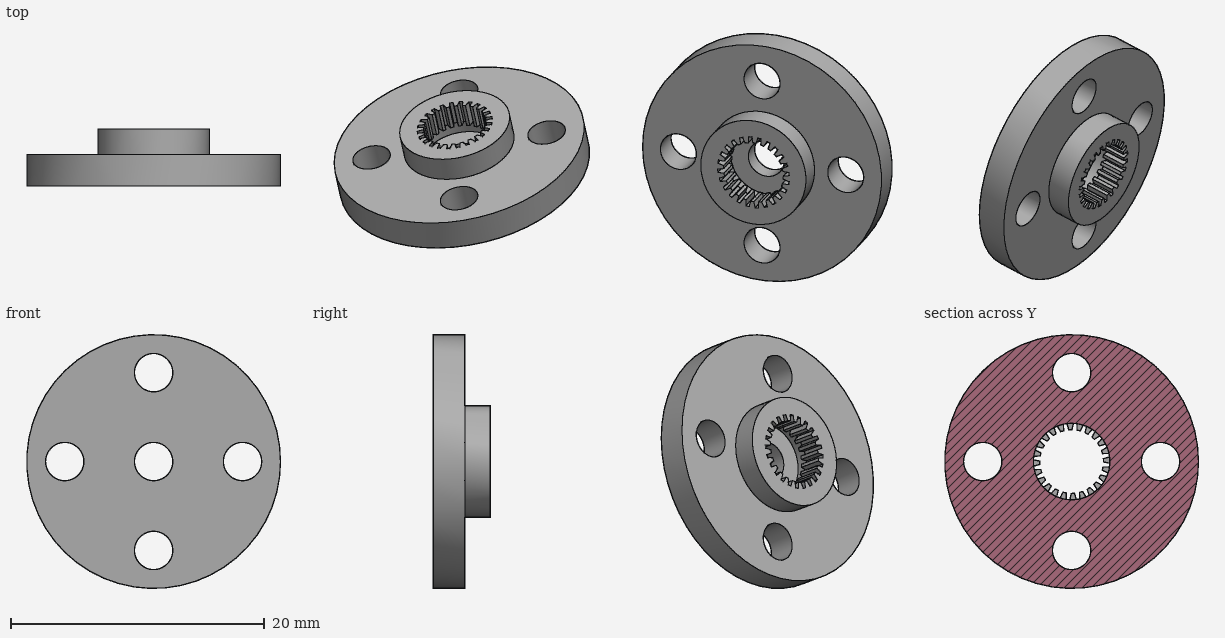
import cadquery as cq
import math

disc_diameter = 20.0
disc_thickness = 2.5

hub_diameter = 8.8
hub_height = 2.0
overall_depth = disc_thickness + hub_height

hole_diameter = 3.0
bolt_circle_diameter = 14.0
bolt_hole_count = 4

relief_depth = 1.0
tooth_count = 24
spline_root_diameter = 6.0
spline_tip_diameter = 5.0
tooth_flat_width = 0.265
first_tooth_angle = math.radians(2.2)


def cylinder_along_y(diameter, start, length):
    """Cylinder on the part axis, from y = start to y = start + length."""
    plane = cq.Workplane("XZ", origin=(0, start, 0))
    return plane.circle(diameter / 2).extrude(-length)


def make_body():
    disc = cylinder_along_y(disc_diameter, 0, disc_thickness)
    hub = cylinder_along_y(hub_diameter, disc_thickness, hub_height)
    return disc.union(hub)


def make_holes():
    centre_hole = cylinder_along_y(hole_diameter, 0, overall_depth)
    bolt_holes = (
        cq.Workplane("XZ")
        .polarArray(bolt_circle_diameter / 2, 0, 360, bolt_hole_count)
        .circle(hole_diameter / 2)
        .extrude(-disc_thickness)
    )
    return centre_hole.union(bolt_holes)


def make_relief_bore():
    """Clearance at the inner end of the teeth, as wide as the spline roots."""
    return cylinder_along_y(spline_root_diameter, disc_thickness - relief_depth, relief_depth)


def point_at(radius, angle):
    """Point in the XZ plane at the given radius and angle from +X."""
    return (radius * math.cos(angle), radius * math.sin(angle))


def make_spline_socket():
    """Socket through the hub with flat-topped teeth and flat roots."""
    root_radius = spline_root_diameter / 2
    tip_radius = spline_tip_diameter / 2
    pitch = 2 * math.pi / tooth_count
    root_half_angle = math.asin(tooth_flat_width / 2 / root_radius)
    tip_half_angle = math.asin(tooth_flat_width / 2 / tip_radius)
    points = []
    for i in range(tooth_count):
        tip_angle = first_tooth_angle + i * pitch
        root_angle = tip_angle - pitch / 2
        points.append(point_at(root_radius, root_angle - root_half_angle))
        points.append(point_at(root_radius, root_angle + root_half_angle))
        points.append(point_at(tip_radius, tip_angle - tip_half_angle))
        points.append(point_at(tip_radius, tip_angle + tip_half_angle))
    plane = cq.Workplane("XZ", origin=(0, disc_thickness, 0))
    return plane.polyline(points).close().extrude(-hub_height)


result = (
    make_body()
    .cut(make_holes())
    .cut(make_relief_bore())
    .cut(make_spline_socket())
)